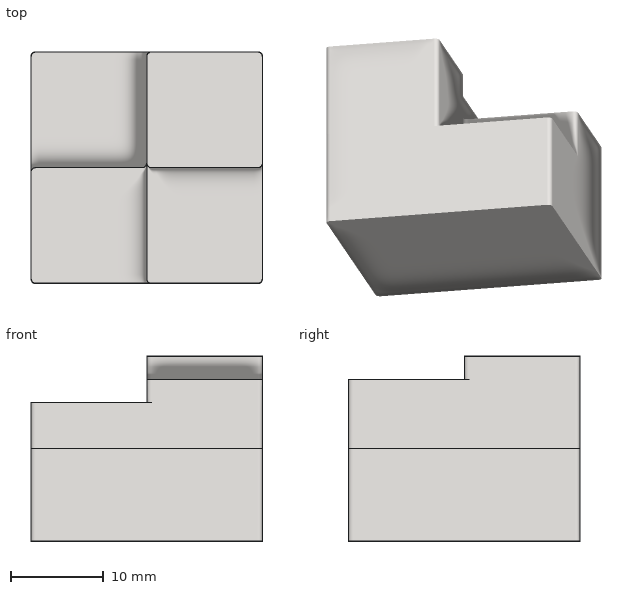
import cadquery as cq

width = 25.0
base_height = 10.0
low_height = 5.0
middle_height = 7.5
high_height = 10.0
corner_radius = 0.5

half = width / 2


def rounded_prism(points, bottom, height):
    """Upright prism on a polygon outline, with all vertical edges rounded."""
    return (
        cq.Workplane("XY")
        .workplane(offset=bottom)
        .polyline(points)
        .close()
        .extrude(height)
        .edges("|Z")
        .fillet(corner_radius)
    )


full_square = [(-half, -half), (half, -half), (half, half), (-half, half)]
three_quadrants = [(-half, -half), (half, -half), (half, half), (0, half), (0, 0), (-half, 0)]
right_half = [(0, -half), (half, -half), (half, half), (0, half)]
back_right_quadrant = [(0, 0), (half, 0), (half, half), (0, half)]


def make_base():
    """Plain square block."""
    return rounded_prism(full_square, 0, base_height)


def make_stepped_block():
    """Staircase of three layers on the base, leaving the back left quadrant open."""
    low_top = base_height + low_height
    middle_top = base_height + middle_height
    low_layer = rounded_prism(three_quadrants, base_height, low_height)
    middle_layer = rounded_prism(right_half, low_top, middle_height - low_height)
    high_layer = rounded_prism(back_right_quadrant, middle_top, high_height - middle_height)
    return low_layer.union(middle_layer).union(high_layer)


base = make_base()
stepped_block = make_stepped_block()

result = cq.Compound.makeCompound([base.val(), stepped_block.solids().val()])